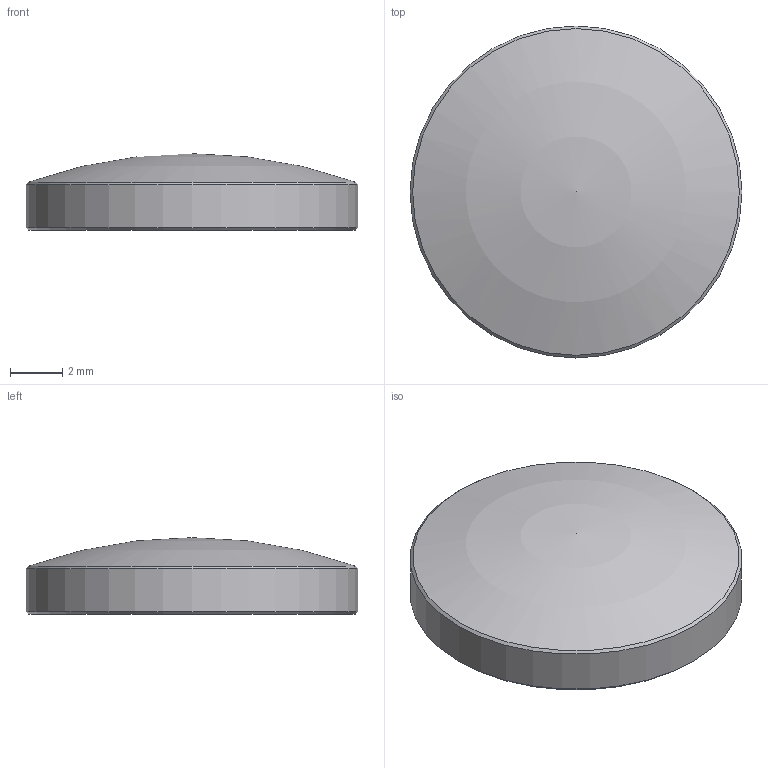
import cadquery as cq

diameter = 12.7
center_thickness = 2.93
edge_chamfer = 0.1
dome_height = 1.09

radius = diameter / 2
face_radius = radius - edge_chamfer
rim_height = center_thickness - dome_height
dome_radius = (face_radius**2 + dome_height**2) / (2 * dome_height)


def dome_z(r):
    """Height of the spherical face at distance r from the axis."""
    return center_thickness - dome_radius + (dome_radius**2 - r**2) ** 0.5


def lens_half_profile():
    """Half section in the XZ plane, from the axis out to the rim."""
    return (
        cq.Workplane("XZ")
        .moveTo(0, 0)
        .lineTo(face_radius, 0)
        .lineTo(radius, edge_chamfer)
        .lineTo(radius, rim_height - edge_chamfer)
        .lineTo(face_radius, rim_height)
        .threePointArc((face_radius / 2, dome_z(face_radius / 2)), (0, center_thickness))
        .close()
    )


result = lens_half_profile().revolve(360, (0, 0, 0), (0, 1, 0))